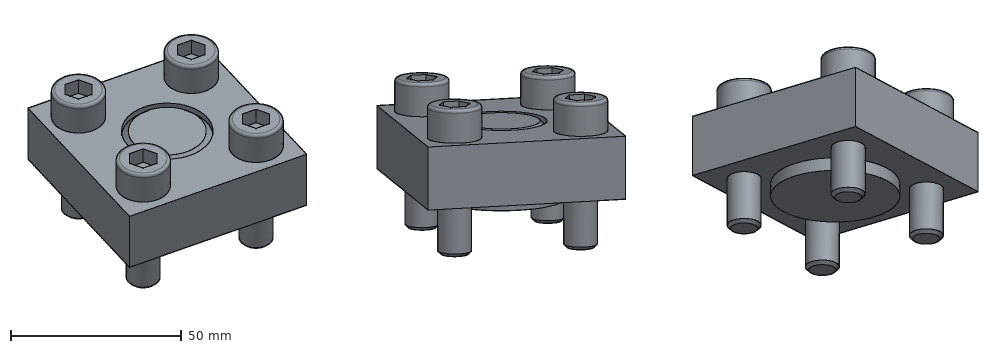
import cadquery as cq
import math

plate_side = 60.0
plate_thickness = 18.95

spigot_diameter = 38.0
spigot_height = 4.0

groove_diameter = 26.9
groove_inner_diameter = 22.9
groove_depth = 2.0

screw_spacing = 38.2
head_diameter = 16.0
head_height = 10.0
head_edge_radius = 1.0
shank_diameter = 10.0
shank_projection = 16.0
shank_tip_chamfer = 1.0
socket_across_flats = 8.0
socket_depth = 5.0


def make_flange():
    plate = cq.Workplane("XY").rect(plate_side, plate_side).extrude(plate_thickness)
    spigot = cq.Workplane("XY").circle(spigot_diameter / 2).extrude(-spigot_height)
    return plate.union(spigot)


def make_groove():
    """Ring with a straight outer wall and an inner side that slopes outward to the bottom."""
    outer_radius = groove_diameter / 2
    return (
        cq.Workplane("XZ")
        .moveTo(groove_inner_diameter / 2, plate_thickness)
        .lineTo(outer_radius, plate_thickness)
        .lineTo(outer_radius, plate_thickness - groove_depth)
        .close()
        .revolve(360, (0, 0, 0), (0, 1, 0))
    )


def make_screw():
    """Screw on the Z axis, with its head seated on the plate."""
    head = (
        cq.Workplane("XY", origin=(0, 0, plate_thickness))
        .circle(head_diameter / 2)
        .extrude(head_height)
        .faces(">Z")
        .edges()
        .fillet(head_edge_radius)
    )
    shank = (
        cq.Workplane("XY", origin=(0, 0, plate_thickness))
        .circle(shank_diameter / 2)
        .extrude(-(plate_thickness + shank_projection))
        .faces("<Z")
        .edges()
        .chamfer(shank_tip_chamfer)
    )
    socket_across_corners = socket_across_flats / math.cos(math.radians(30))
    socket = (
        cq.Workplane("XY", origin=(0, 0, plate_thickness + head_height))
        .transformed(rotate=(0, 0, 30))
        .polygon(6, socket_across_corners)
        .extrude(-socket_depth)
    )
    return head.union(shank).cut(socket)


result = make_flange().cut(make_groove())
screw = make_screw()
for x_side in (-1, 1):
    for y_side in (-1, 1):
        position = (x_side * screw_spacing / 2, y_side * screw_spacing / 2, 0)
        result = result.union(screw.translate(position))